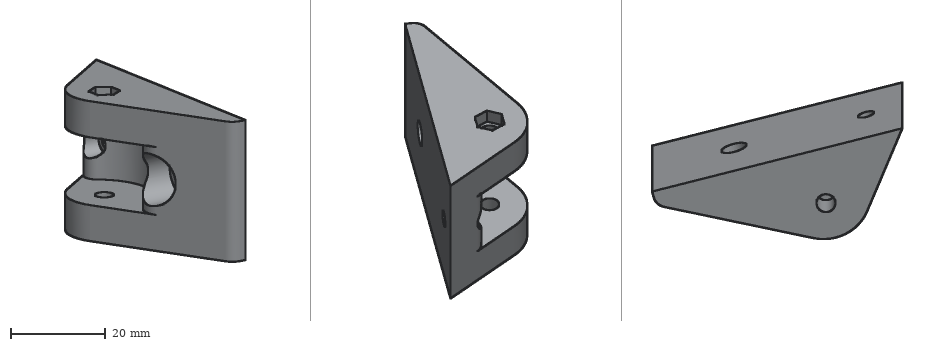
import cadquery as cq
import math

length = 55.0
depth = 20.0
height = 31.0

nose_x = 20.0
nose_radius = 10.0
tip_radius = 3.0
tip_center_y = -1.35

slot_height = 15.0
slot_radius = 12.5
slot_center = (nose_x, -14.0)
left_lip_radius = 3.0
right_lip_radius = 5.0

pivot_x = 20.0
pivot_y = -12.0
pivot_diameter = 4.0
nut_across_flats = 5.8
nut_depth = 3.0
nut_sides = 6

small_screw = (8.0, 3.5, 6.0)
large_screw = (37.0, 5.5, 11.5)
screw_head_seat_y = -3.0

mid_height = height / 2


def along(point, direction, distance):
    """Point moved by `distance` times `direction`."""
    return (point[0] + distance * direction[0], point[1] + distance * direction[1])


def dot(first, second):
    """Scalar product of two plane vectors."""
    return first[0] * second[0] + first[1] * second[1]


nose_center = (nose_x, nose_radius - depth)
tip_center = (length - tip_radius, tip_center_y)
left_angle = 2 * math.atan2(nose_radius, nose_x)
left_normal = (-math.sin(left_angle), -math.cos(left_angle))
center_dx = tip_center[0] - nose_center[0]
center_dy = tip_center[1] - nose_center[1]
right_angle = math.atan2(center_dy, center_dx) + math.asin(
    (nose_radius - tip_radius) / math.hypot(center_dx, center_dy)
)
right_normal = (math.sin(right_angle), -math.cos(right_angle))


def make_body():
    """Wedge with a large round nose and a small round tip."""
    tip_middle_angle = (right_angle - math.pi / 2) / 2
    tip_middle = (math.cos(tip_middle_angle), math.sin(tip_middle_angle))
    return (
        cq.Workplane("XY")
        .moveTo(0, 0)
        .lineTo(*along(nose_center, left_normal, nose_radius))
        .threePointArc((nose_x, -depth), along(nose_center, right_normal, nose_radius))
        .lineTo(*along(tip_center, right_normal, tip_radius))
        .threePointArc(along(tip_center, tip_middle, tip_radius), (length, tip_center_y))
        .lineTo(length, 0)
        .close()
        .extrude(height)
    )


def make_lip(face_normal, away_from_nose, radius):
    """Lip tangent to a sloping face and to the slot wall: its points on the wall, middle and face."""
    center_to_nose = (nose_center[0] - slot_center[0], nose_center[1] - slot_center[1])
    face_distance = nose_radius + dot(center_to_nose, face_normal)
    across = face_distance - radius
    reach = slot_radius + radius
    lip_center = along(
        along(slot_center, face_normal, across), away_from_nose, math.sqrt(reach**2 - across**2)
    )
    to_wall = ((slot_center[0] - lip_center[0]) / reach, (slot_center[1] - lip_center[1]) / reach)
    half_way = (to_wall[0] + face_normal[0], to_wall[1] + face_normal[1])
    middle_factor = radius / math.hypot(*half_way)
    return (
        along(lip_center, to_wall, radius),
        along(lip_center, half_way, middle_factor),
        along(lip_center, face_normal, radius),
    )


def make_slot():
    """Round pocket whose wall meets each sloping face over a rounded lip."""
    left_along_face = (left_normal[1], -left_normal[0])
    right_along_face = (-right_normal[1], right_normal[0])
    left_wall, left_middle, left_edge = make_lip(left_normal, left_along_face, left_lip_radius)
    right_wall, right_middle, right_edge = make_lip(right_normal, right_along_face, right_lip_radius)
    slot_back = (slot_center[0], slot_center[1] + slot_radius)
    return (
        cq.Workplane("XY", origin=(0, 0, mid_height - slot_height / 2))
        .moveTo(*left_edge)
        .threePointArc(left_middle, left_wall)
        .threePointArc(slot_back, right_wall)
        .threePointArc(right_middle, right_edge)
        .lineTo(*along(right_edge, right_normal, depth))
        .lineTo(*along(left_edge, left_normal, depth))
        .close()
        .extrude(slot_height)
    )


def make_pivot_cut():
    """Pivot bore through both walls and the hexagonal nut trap in the top."""
    bore = cq.Workplane("XY").center(pivot_x, pivot_y).circle(pivot_diameter / 2).extrude(height)
    nut_across_corners = nut_across_flats / math.cos(math.pi / nut_sides)
    nut = (
        cq.Workplane("XY", origin=(pivot_x, pivot_y, height - nut_depth))
        .polygon(nut_sides, nut_across_corners)
        .extrude(nut_depth)
    )
    return bore.union(nut)


def make_screw_cut(x, bore_diameter, head_diameter):
    """Bore through the back, widened from the head seat to the front."""
    bore = cq.Workplane("XZ", origin=(x, 0, mid_height)).circle(bore_diameter / 2).extrude(depth)
    head = (
        cq.Workplane("XZ", origin=(x, screw_head_seat_y, mid_height))
        .circle(head_diameter / 2)
        .extrude(depth)
    )
    return bore.union(head)


result = make_body().cut(make_slot()).cut(make_pivot_cut())
for screw in (small_screw, large_screw):
    result = result.cut(make_screw_cut(*screw))